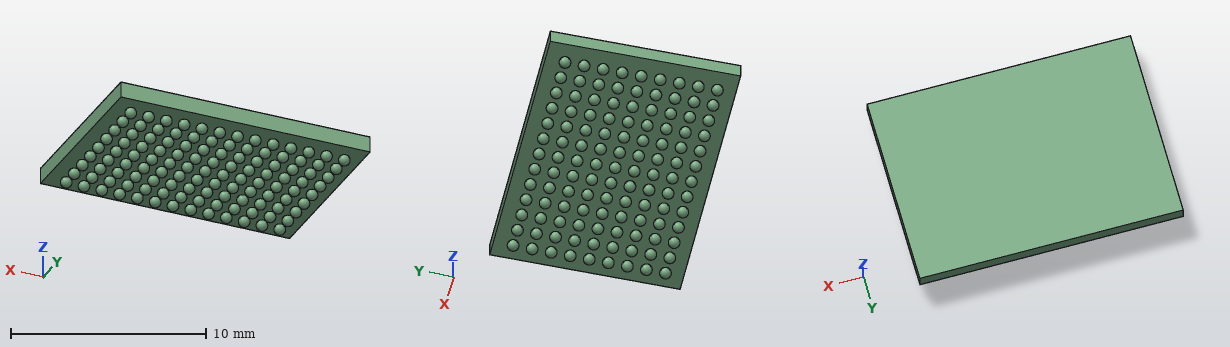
import cadquery as cq

body_length = 14.0
body_width = 10.0
total_height = 1.39
body_thickness = 0.88
ball_diameter = 0.6
ball_columns = 13
ball_rows = 9
ball_pitch_x = body_length / (ball_columns + 1)
ball_pitch_y = body_width / (ball_rows + 1)

ball_radius = ball_diameter / 2
body_bottom = total_height - body_thickness


def make_body():
    """Plain slab, centred in X and Y, with its top at the total height."""
    return (
        cq.Workplane("XY")
        .workplane(offset=body_bottom)
        .rect(body_length, body_width)
        .extrude(body_thickness)
    )


def make_balls():
    """Grid of balls resting on Z = 0, their tops sunk into the body."""
    ball = cq.Workplane("XY").sphere(ball_radius).val()
    return (
        cq.Workplane("XY")
        .workplane(offset=ball_radius)
        .rarray(ball_pitch_x, ball_pitch_y, ball_columns, ball_rows)
        .eachpoint(lambda location: ball.located(location), combine=False)
    )


result = make_body().union(make_balls())